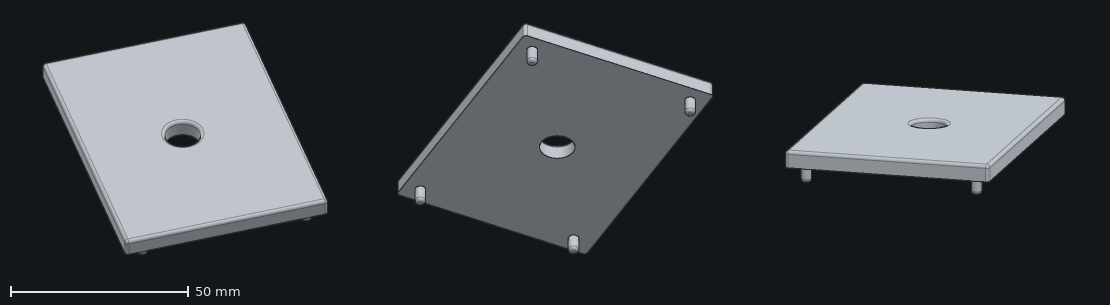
import cadquery as cq

length = 80.0
width = 60.0
total_height = 10.0

plate_thickness = total_height / 2

hole_diameter = 10.0
rim_diameter = 12.0
rim_radius = (rim_diameter - hole_diameter) / 2
edge_radius = rim_radius
hole_x = 0.6
hole_y = -1.0

pin_diameter = 3.0
pin_length = total_height - plate_thickness
pin_tip_radius = rim_radius
pin_spacing_x = 70.0
pin_spacing_y = 50.0
key_shift = 1.5
pin_x = pin_spacing_x / 2
pin_y = pin_spacing_y / 2
pin_centres = [
    (-pin_x, -pin_y),
    (-pin_x, pin_y),
    (pin_x, pin_y),
    (pin_x, -pin_y + key_shift),
]


def make_plate():
    """Rectangular plate with rounded corners and a rounded top edge."""
    plate = cq.Workplane("XY").box(length, width, plate_thickness, centered=(True, True, False))
    return plate.edges("|Z or >Z").fillet(edge_radius)


def cut_hole(plate):
    """Cut the through hole and round its top rim."""
    drill = (
        cq.Workplane("XY")
        .center(hole_x, hole_y)
        .circle(hole_diameter / 2)
        .extrude(plate_thickness)
    )
    drilled = plate.cut(drill)
    return drilled.faces(">Z").edges("%CIRCLE").fillet(rim_radius)


def make_pin(centre):
    """Round pin hanging below the plate, with a rounded tip."""
    pin = cq.Workplane("XY").center(*centre).circle(pin_diameter / 2).extrude(-pin_length)
    return pin.faces("<Z").edges().fillet(pin_tip_radius)


result = cut_hole(make_plate())
for pin_centre in pin_centres:
    result = result.union(make_pin(pin_centre))